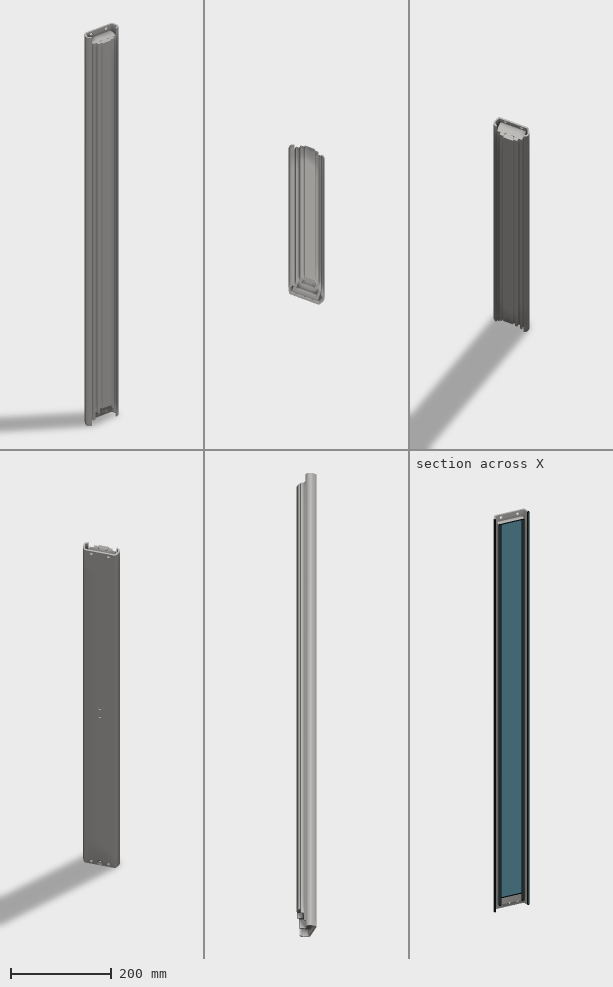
import cadquery as cq
import math

length = 950.0
top_setback = 15.0
nested_top = length - top_setback

wall = 3.3
outer_depth = 22.0
outer_width = 75.0
outer_half_width = outer_width / 2
web_width = 58.0
web_half_width = web_width / 2
corner_angle = 66.0
raceway_radius = 9.0
raceway_x = outer_depth - raceway_radius
raceway_y = outer_half_width - raceway_radius

middle_bottom, middle_front = 13.0, 24.0
carrier_bottom, carrier_front = 31.0, 29.0
inner_bottom, inner_front = 42.0, 32.0
outer_cage_front = 18.0

outer_cage_back, outer_cage_half_width = wall, 28.0
middle_back, middle_half_width = 6.0, 27.0
middle_cage_back, middle_cage_half_width = 10.0, 22.0
carrier_back, carrier_half_width = 14.0, 19.0
carrier_cage_back, carrier_cage_half_width = 19.0, 14.0
inner_back, inner_half_width = 22.0, 10.0
channel_corner = 3.0
inner_corner = 7.0

mount_hole_diameter = 7.0
mount_hole_spacing = 35.0
mount_hole_inset = 8.0
rivet_hole_diameter = 6.2
rivet_hole_heights = (475.0, 450.0)
sink_diameter = 13.0
sink_tip_diameter = 4.0
sink_z = 8.0


def outer_outline():
    """Filled section of the outer rail, its mouth closed by a straight line."""
    turn = math.radians(corner_angle)
    lean_x, lean_y = math.cos(turn), math.sin(turn)
    bend_radius = (
        (raceway_y - web_half_width) * lean_y - raceway_x * lean_x + raceway_radius
    ) / (1 - lean_x)
    race_start = (raceway_x - raceway_radius * lean_x, raceway_y + raceway_radius * lean_y)
    race_top = (raceway_x, outer_half_width)
    race_end = (outer_depth, raceway_y)
    bend_start = (0, web_half_width)
    bend_mid = (
        bend_radius * (1 - math.cos(turn / 2)),
        web_half_width + bend_radius * math.sin(turn / 2),
    )
    bend_end = (bend_radius * (1 - lean_x), web_half_width + bend_radius * lean_y)

    def mirrored(point):
        return (point[0], -point[1])

    return (
        cq.Workplane("XY")
        .moveTo(*bend_start)
        .threePointArc(bend_mid, bend_end)
        .lineTo(*race_start)
        .threePointArc(race_top, race_end)
        .lineTo(*mirrored(race_end))
        .threePointArc(mirrored(race_top), mirrored(race_start))
        .lineTo(*mirrored(bend_end))
        .threePointArc(mirrored(bend_mid), mirrored(bend_start))
        .close()
    )


def back_holes(points, diameter):
    """Cylinders through the outer rail's back at (y, z) points."""
    return cq.Workplane("YZ").pushPoints(points).circle(diameter / 2).extrude(wall)


def make_outer_rail():
    """Channel with a rounded raceway along each side, open between its two lips."""
    body = outer_outline().extrude(length)
    cavity = outer_outline().offset2D(-wall).extrude(length)
    mouth = (
        cq.Workplane("XY", origin=(wall, 0, 0))
        .box(outer_depth - wall, 2 * raceway_y, length, centered=(False, True, False))
    )
    mount_points = [
        (side * mount_hole_spacing / 2, z)
        for side in (-1, 1)
        for z in (mount_hole_inset, length - mount_hole_inset)
    ]
    rivet_points = [(0, z) for z in rivet_hole_heights]
    countersink = cq.Solid.makeCone(
        sink_diameter / 2,
        sink_tip_diameter / 2,
        wall,
        pnt=cq.Vector(0, 0, sink_z),
        dir=cq.Vector(1, 0, 0),
    )
    return (
        body.cut(cavity)
        .cut(mouth)
        .cut(back_holes(mount_points, mount_hole_diameter))
        .cut(back_holes(rivet_points, rivet_hole_diameter))
        .cut(cq.Workplane(countersink))
    )


def make_bar(back, front, half_width, bottom, corner=channel_corner):
    """Solid bar with rounded back corners, from `bottom` up to the nested bodies' top."""
    return (
        cq.Workplane("XY", origin=(back, 0, bottom))
        .box(front - back, 2 * half_width, nested_top - bottom, centered=(False, True, False))
        .edges("|Z and <X")
        .fillet(corner)
    )


def make_channel(back, front, half_width, bottom, recess_back, recess_half_width):
    """Bar with a recess along its whole length, open toward +X."""
    recess = make_bar(recess_back, inner_front, recess_half_width, bottom)
    return make_bar(back, front, half_width, bottom).cut(recess)


outer_rail = make_outer_rail()
outer_cage = make_channel(
    outer_cage_back, outer_cage_front, outer_cage_half_width, middle_bottom,
    middle_back, middle_half_width,
)
middle_rail = make_channel(
    middle_back, middle_front, middle_half_width, middle_bottom,
    middle_cage_back, middle_cage_half_width,
)
middle_cage = make_channel(
    middle_cage_back, middle_front, middle_cage_half_width, carrier_bottom,
    carrier_back, carrier_half_width,
)
carrier_rail = make_channel(
    carrier_back, carrier_front, carrier_half_width, carrier_bottom,
    carrier_cage_back, carrier_cage_half_width,
)
carrier_cage = make_channel(
    carrier_cage_back, carrier_front, carrier_cage_half_width, inner_bottom,
    inner_back, inner_half_width,
)
inner_rail = make_bar(inner_back, inner_front, inner_half_width, inner_bottom, inner_corner)

result = cq.Compound.makeCompound([
    outer_rail.val(),
    outer_cage.val(),
    middle_rail.val(),
    middle_cage.val(),
    carrier_rail.val(),
    carrier_cage.val(),
    inner_rail.val(),
])